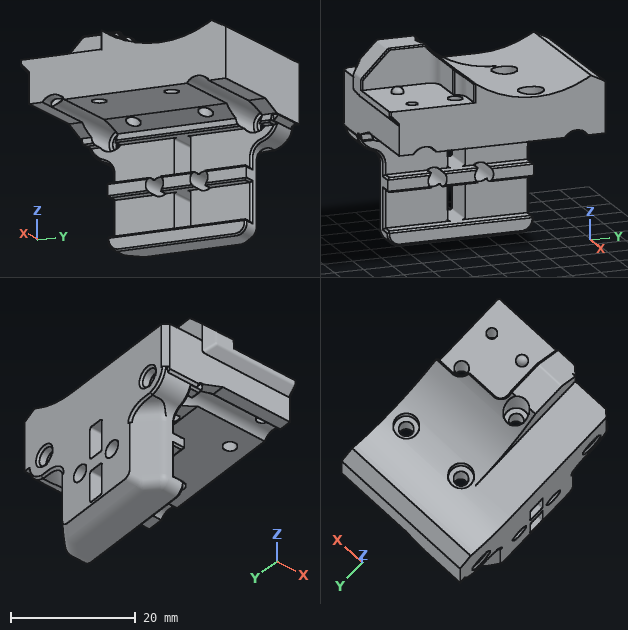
import cadquery as cq
import math


length = 26.0
height = 34.9
back_y = 18.0
front_y = -17.4
underside_z = 20.9
shelf_z = 19.4
underside_slope_start_x = 8.0
underside_slope_end_x = 12.0
front_corner_chamfer = 1.0

saddle_radius = 18.3
saddle_y = 6.1
saddle_bottom_z = 28.3
saddle_axis_z = saddle_bottom_z + saddle_radius
saddle_tangent_y = 14.6
ridge_y = 15.5
back_edge_z = 29.6

wall_x = 7.7
wall_slope_y = -14.3
nose_overhang = 1.62
nose_y = front_y - nose_overhang
nose_bottom_z = 25.9
nose_round = 0.8
nose_end_chamfer = 0.25

pocket_x = 13.15
pocket_floor_z = 28.4
pocket_back_y = -6.05
pocket_corner_radius = 1.7
pocket_notch_radius = 2.0
pocket_edge_chamfer = 0.25

screw_x = (10.5, 22.5)
screw_y = (-6.5, 6.5)
screw_diameter = 2.4
screw_head_diameter = 4.2
screw_head_seat_z = 26.35

pin_x = 16.25
small_hole_x = 22.85
pin_y = -14.0
pin_radius = 1.0
small_hole_diameter = 1.8

plate_half_width = 12.5
plate_depth = 8.0
side_chamfer = 4.0
bottom_chamfer = 2.0
plate_round = 2.0

ear_y = 13.0
ear_z = 19.6
ear_radius = 4.1
ear_hole_diameter = 3.4
ear_hole_mouth_diameter = 4.2
ear_bore_diameter = 4.7
ear_bore_seat_x = 1.75
neck_radius = 2.5
ear_edge_chamfer = 0.4
ear_flare_top_y = 17.8
ear_flare_z = 18.5
ear_flare_bevel = 0.6
runout_top_z = ear_z - ear_radius
runout_z = runout_top_z - neck_radius

recess_spans_z = ((2.6, 9.05), (11.55, 18.1))
recess_floor_x = 6.0
rib_edge_chamfer = 0.3
recess_edge_chamfer = 0.35
slot_width = 3.0
slot_corner_radius = 0.4
plate_hole_y = 4.0
plate_hole_z = 10.3
plate_hole_diameter = 3.2


def box(x0, x1, y0, y1, z0, z1):
    """Box between two opposite corners."""
    return cq.Workplane("XY").box(x1 - x0, y1 - y0, z1 - z0, centered=False).translate((x0, y0, z0))


def rod_x(y, z, diameter, x0, x1):
    """Cylinder along X."""
    return cq.Workplane("YZ", origin=(x0, y, z)).circle(diameter / 2).extrude(x1 - x0)


def rod_z(x, y, diameter, z0, z1):
    """Cylinder along Z."""
    return cq.Workplane("XY", origin=(x, y, z0)).circle(diameter / 2).extrude(z1 - z0)


def edges_in_box(corner, opposite_corner):
    """Selector for the edges whose middles lie between two corners."""
    return cq.selectors.BoxSelector(corner, opposite_corner)


def saddle_z(y):
    """Height of the saddle surface at y."""
    return saddle_axis_z - math.sqrt(saddle_radius**2 - (y - saddle_y) ** 2)


def make_block():
    """Block with the saddle and wall, and its stepped underside."""
    tangent_z = saddle_z(saddle_tangent_y)
    tangent_slope = (saddle_tangent_y - saddle_y) / (saddle_axis_z - tangent_z)
    ridge_z = tangent_z + tangent_slope * (ridge_y - saddle_tangent_y)
    rim_y = saddle_y - math.sqrt(saddle_radius**2 - (saddle_axis_z - height) ** 2)
    slope_foot_z = height - (wall_slope_y - front_y)
    block = (
        cq.Workplane("YZ")
        .moveTo(back_y, shelf_z)
        .lineTo(back_y, back_edge_z)
        .lineTo(ridge_y, ridge_z)
        .lineTo(saddle_tangent_y, tangent_z)
        .threePointArc((saddle_y, saddle_bottom_z), (rim_y, height))
        .lineTo(wall_slope_y, height)
        .lineTo(front_y, slope_foot_z)
        .lineTo(front_y, shelf_z)
        .close()
        .extrude(length)
    )
    wall_top_front = cq.selectors.NearestToPointSelector((length / 2, wall_slope_y, height))
    block = block.edges(wall_top_front).fillet(nose_round)
    block = block.edges("|Z and <X and <Y").chamfer(front_corner_chamfer)
    relief = (
        cq.Workplane("XZ", origin=(0, back_y, 0))
        .moveTo(underside_slope_start_x, shelf_z)
        .lineTo(underside_slope_end_x, underside_z)
        .lineTo(length, underside_z)
        .lineTo(length, shelf_z)
        .close()
        .extrude(back_y - front_y)
    )
    step = box(0, wall_x, nose_y, saddle_y, saddle_bottom_z, height)
    return block.cut(relief).cut(step)


def make_nose():
    """Overhanging nose, sloped above and below and bevelled at its free end."""
    top_z = height - (wall_slope_y - front_y)
    nose = (
        cq.Workplane("YZ", origin=(wall_x, 0, 0))
        .moveTo(front_y, nose_bottom_z)
        .lineTo(nose_y, nose_bottom_z + nose_overhang)
        .lineTo(nose_y, top_z - nose_overhang)
        .lineTo(front_y, top_z)
        .close()
        .extrude(length - wall_x)
    )
    end_bevel = (
        cq.Workplane("XY", origin=(0, 0, nose_bottom_z))
        .moveTo(wall_x, front_y)
        .lineTo(wall_x, nose_y)
        .lineTo(wall_x + nose_overhang, nose_y)
        .close()
        .extrude(top_z - nose_bottom_z)
    )
    nose = nose.cut(end_bevel)
    margin = 0.1
    outer_edges = edges_in_box(
        (wall_x, nose_y - margin, nose_bottom_z), (length - margin, front_y - margin, top_z)
    )
    nose = nose.edges(outer_edges).fillet(nose_round)
    return nose.faces("<Y").edges(">X").chamfer(nose_end_chamfer)


def make_pocket():
    """Pocket beside the wall, stepping back around the screw head in its corner."""
    notch_x = screw_x[1]
    notch_y = screw_y[0]
    main = box(pocket_x, length, nose_y, pocket_back_y, pocket_floor_z, height)
    main = main.edges("|Z and <X and >Y").fillet(pocket_corner_radius)
    notch = rod_z(notch_x, notch_y, 2 * pocket_notch_radius, pocket_floor_z, height)
    side = box(notch_x, length, notch_y, notch_y + pocket_notch_radius, pocket_floor_z, height)
    return main.union(notch).union(side)


def make_body():
    """Block and nose with the pocket cut in, its wall edges lightly chamfered."""
    body = make_block().union(make_nose()).cut(make_pocket())
    margin = 0.1
    notch_back_y = screw_y[0] + pocket_notch_radius
    upright = cq.selectors.ParallelDirSelector(cq.Vector(0, 0, 1))
    pocket_edges = edges_in_box(
        (pocket_x - margin, nose_y - margin, pocket_floor_z + margin),
        (length + margin, notch_back_y + margin, height + margin),
    )
    cusp_x = screw_x[1] - math.sqrt(pocket_notch_radius**2 - (pocket_back_y - screw_y[0]) ** 2)
    cusp_edge = edges_in_box(
        (cusp_x - margin, pocket_back_y - margin, pocket_floor_z),
        (cusp_x + margin, pocket_back_y + margin, height),
    )
    end_edge = edges_in_box(
        (length - margin, pocket_back_y, pocket_floor_z),
        (length + margin, notch_back_y + margin, height),
    )
    return body.edges((pocket_edges - upright) + cusp_edge + end_edge).chamfer(pocket_edge_chamfer)


def make_column():
    """Bevelled lower part of the plate, with all its bevel edges rounded."""
    column = (
        cq.Workplane("XY")
        .moveTo(0, side_chamfer - plate_half_width)
        .lineTo(side_chamfer, -plate_half_width)
        .lineTo(plate_depth, -plate_half_width)
        .lineTo(plate_depth, plate_half_width)
        .lineTo(side_chamfer, plate_half_width)
        .lineTo(0, plate_half_width - side_chamfer)
        .close()
        .extrude(ear_z)
    )
    wedge = (
        cq.Workplane("XZ", origin=(0, plate_half_width, 0))
        .lineTo(0, bottom_chamfer)
        .lineTo(bottom_chamfer, 0)
        .close()
        .extrude(2 * plate_half_width)
    )
    bevel_edges = edges_in_box((0.1, -back_y, -0.1), (plate_depth - 0.1, back_y, ear_z - 0.1))
    return column.cut(wedge).edges(bevel_edges).fillet(plate_round)


def make_column_surround():
    """Space around the column below the ears, rounded where the column flares into them."""
    surround = box(0, plate_depth, -back_y, back_y, 0, runout_top_z).cut(make_column())
    for side in (-1, 1):
        flare_edges = edges_in_box(
            (0.1, side * ear_y - side_chamfer, runout_top_z - 0.1),
            (plate_depth - 0.1, side * ear_y + side_chamfer, runout_top_z + 0.1),
        )
        surround = surround.edges(flare_edges).fillet(neck_radius)
    return surround


def make_ear_flares():
    """Small sloped fillers between the ears and the underside of the block."""
    flare_end_x = plate_depth - ear_edge_chamfer
    foot_y = ear_y + math.sqrt(ear_radius**2 - (ear_z - ear_flare_z) ** 2)
    flares = (
        cq.Workplane("YZ", origin=(ear_edge_chamfer, 0, 0))
        .moveTo(-ear_flare_top_y, shelf_z)
        .lineTo(-foot_y, ear_flare_z)
        .lineTo(foot_y, ear_flare_z)
        .lineTo(ear_flare_top_y, shelf_z)
        .close()
        .extrude(flare_end_x - ear_edge_chamfer)
    )
    flares = flares.faces("<X or >X").edges("not |Y").chamfer(ear_flare_bevel)
    return flares.intersect(box(0, plate_depth, front_y, back_y, ear_flare_z, shelf_z))


def make_plate():
    """Mounting plate: a bevelled column that flares into two ears."""
    plate = box(0, plate_depth, -plate_half_width, plate_half_width, 0, ear_z)
    for side in (-1, 1):
        plate = plate.union(rod_x(side * ear_y, ear_z, 2 * ear_radius, 0, plate_depth))
    shoulder_z = ear_z - math.sqrt(ear_radius**2 - (ear_y - plate_half_width) ** 2)
    for side in (-1, 1):
        shoulder = cq.selectors.NearestToPointSelector(
            (plate_depth / 2, side * plate_half_width, shoulder_z)
        )
        plate = plate.edges(shoulder).fillet(neck_radius)
    plate = plate.intersect(box(0, plate_depth, front_y, back_y, 0, shelf_z))
    plate = plate.cut(make_column_surround())

    ear_space = box(0, plate_depth, front_y, back_y, runout_z, shelf_z)
    margin = 0.1
    ear_edges = edges_in_box(
        (-margin, front_y, runout_z + margin),
        (margin, back_y, shelf_z - margin),
    )
    ears = plate.intersect(ear_space).edges(ear_edges).chamfer(ear_edge_chamfer)
    plate = plate.cut(ear_space).union(ears).union(make_ear_flares())

    for z0, z1 in recess_spans_z:
        plate = plate.cut(make_recess(z0, z1)).cut(make_slot(z0, z1))
        for side in (-1, 1):
            inner_y = side * (plate_half_width - margin)
            outer_y = side * back_y
            outline_edges = edges_in_box(
                (recess_floor_x - margin, min(inner_y, outer_y), z0 - margin),
                (plate_depth - margin, max(inner_y, outer_y), z1 + margin),
            )
            plate = plate.edges(outline_edges).chamfer(recess_edge_chamfer)

    lower_back_edges = edges_in_box(
        (plate_depth - margin, front_y, -margin),
        (plate_depth + margin, back_y, plate_round - margin),
    )
    return plate.edges(lower_back_edges).chamfer(rib_edge_chamfer)


def make_recess(z0, z1):
    """Recess across the back of the plate, widened at its mouth."""
    reach = ear_y + ear_radius
    mouth_x = plate_depth - rib_edge_chamfer
    return (
        cq.Workplane("XZ", origin=(0, reach, 0))
        .moveTo(recess_floor_x, z0)
        .lineTo(mouth_x, z0)
        .lineTo(plate_depth, z0 - rib_edge_chamfer)
        .lineTo(plate_depth, z1 + rib_edge_chamfer)
        .lineTo(mouth_x, z1)
        .lineTo(recess_floor_x, z1)
        .close()
        .extrude(2 * reach)
    )


def make_slot(z0, z1):
    """Rounded rectangular slot through the plate."""
    slot = box(0, plate_depth, -slot_width / 2, slot_width / 2, z0, z1)
    return slot.edges("|X").fillet(slot_corner_radius)


def make_ear_hole(y):
    """Countersunk hole through an ear, opening into a wider bore through the block behind it."""
    sink = (ear_hole_mouth_diameter - ear_hole_diameter) / 2
    mouth = cq.Solid.makeCone(
        ear_hole_mouth_diameter / 2,
        ear_hole_diameter / 2,
        sink,
        pnt=cq.Vector(0, y, ear_z),
        dir=cq.Vector(1, 0, 0),
    )
    bore = rod_x(y, ear_z, ear_bore_diameter, ear_bore_seat_x, length)
    return rod_x(y, ear_z, ear_hole_diameter, 0, length).union(cq.Workplane(mouth)).union(bore)


result = make_body().union(make_plate())

for side in (-1, 1):
    result = result.cut(make_ear_hole(side * ear_y))
    result = result.cut(rod_x(side * plate_hole_y, plate_hole_z, plate_hole_diameter, 0, plate_depth))

for x in screw_x:
    for y in screw_y:
        result = result.cut(rod_z(x, y, screw_diameter, 0, height))
        if (x, y) != (screw_x[1], screw_y[0]):
            result = result.cut(rod_z(x, y, screw_head_diameter, screw_head_seat_z, height))

result = result.cut(rod_z(small_hole_x, pin_y, small_hole_diameter, shelf_z, height))
pin = cq.Workplane("XY").sphere(pin_radius).translate((pin_x, pin_y, pocket_floor_z))
result = result.union(pin)